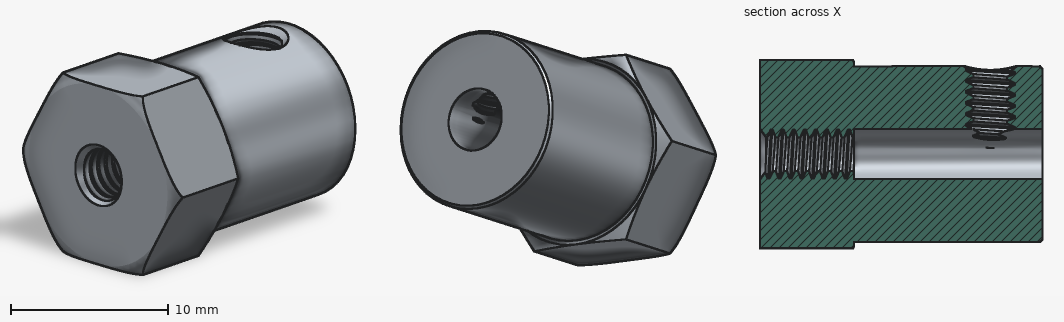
import cadquery as cq
import math

total_length = 18.0
hex_flats = 12.0
hex_length = total_length / 3
hex_chamfer_height = 0.4
barrel_diameter = 11.5
barrel_chamfer = 0.18

bore_diameter = 4.01
thread_minor_diameter = 3.25
thread_major_diameter = 3.96
thread_pitch = 0.7
thread_overlap = 0.04
axial_thread_start = 0.3
thread_runout = 0.36
entry_chamfer = 0.4
screw_entry_chamfer = 0.47
screw_from_end = 3.33

hex_corners = hex_flats / math.cos(math.pi / 6)
thread_minor_radius = thread_minor_diameter / 2
thread_major_radius = thread_major_diameter / 2
screw_y = total_length - screw_from_end
clearance = 0.18


def hex_head():
    """Hexagon with corners on the X axis, its tips rounded in front and cut by a cone at the back."""
    prism = cq.Workplane("XZ").polygon(6, hex_corners).extrude(-hex_length)
    flat_radius = hex_flats / 2
    corner_radius = hex_corners / 2
    envelope = (
        cq.Workplane("XY")
        .lineTo(flat_radius, 0)
        .tangentArcPoint((corner_radius, hex_chamfer_height), relative=False)
        .lineTo(corner_radius, hex_length - hex_chamfer_height)
        .lineTo(flat_radius, hex_length)
        .lineTo(0, hex_length)
        .close()
        .revolve(360, (0, 0, 0), (0, 1, 0))
    )
    return prism.intersect(envelope)


def barrel():
    """Round barrel behind the hex, with its free end chamfered."""
    cylinder = cq.Workplane("XZ").circle(barrel_diameter / 2).extrude(-total_length)
    return cylinder.faces(">Y").chamfer(barrel_chamfer)


def thread_groove(length):
    """Helical 60 degree groove around Z, its middle starting at Z = 0."""
    inner_radius = thread_minor_radius - thread_overlap
    root_half_width = thread_pitch / 16
    mouth_half_width = root_half_width + (thread_major_radius - inner_radius) * math.tan(math.pi / 6)
    profile = [
        (inner_radius, -mouth_half_width),
        (thread_major_radius, -root_half_width),
        (thread_major_radius, root_half_width),
        (inner_radius, mouth_half_width),
    ]
    helices = [
        cq.Wire.makeHelix(thread_pitch, length, radius).translate(cq.Vector(0, 0, height))
        for radius, height in profile
    ]
    flanks = [cq.Face.makeRuledSurface(helices[i - 1], helices[i]) for i in range(len(helices))]
    start_cap = cq.Face.makeFromWires(cq.Wire.makePolygon([helix.startPoint() for helix in helices], close=True))
    end_cap = cq.Face.makeFromWires(cq.Wire.makePolygon([helix.endPoint() for helix in helices], close=True))
    shell = cq.Shell.makeShell(flanks + [start_cap, end_cap])
    return cq.Workplane(obj=cq.Solid.makeSolid(shell))


body = hex_head().union(barrel())
bore = cq.Workplane("XZ", origin=(0, hex_length, 0)).circle(bore_diameter / 2).extrude(-total_length)
body = body.cut(bore)

axial_hole = cq.Workplane("XZ").circle(thread_minor_radius).extrude(-hex_length - clearance)
body = body.cut(axial_hole)
hole_edge = cq.selectors.RadiusNthSelector(0)
body = body.faces("<Y").edges(hole_edge).chamfer(entry_chamfer)

screw_hole = cq.Workplane("XY", origin=(0, screw_y, 0)).circle(thread_minor_radius).extrude(barrel_diameter)
body = body.cut(screw_hole)
mouth_box = cq.selectors.BoxSelector(
    (-thread_minor_diameter, screw_y - thread_minor_diameter, bore_diameter / 2 + clearance),
    (thread_minor_diameter, screw_y + thread_minor_diameter, barrel_diameter / 2 + clearance),
    boundingbox=True,
)
body = body.edges(mouth_box).chamfer(screw_entry_chamfer)

axial_thread_length = hex_length - axial_thread_start + thread_runout
axial_thread = thread_groove(axial_thread_length).rotate((0, 0, 0), (1, 0, 0), -90)
axial_thread = axial_thread.translate((0, axial_thread_start, 0))
screw_thread = thread_groove(barrel_diameter / 2).translate((0, screw_y, 0))
result = body.cut(axial_thread).cut(screw_thread)